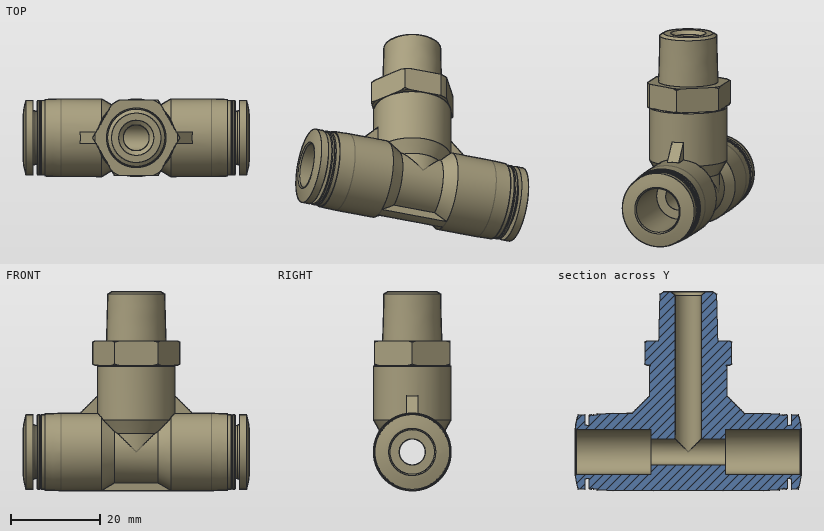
import math

import cadquery as cq


body_diameter = 17.5
body_radius = body_diameter / 2
waist_radius = 7.05
run_waist_half_length = 4.85
run_shoulder_start = 7.75
body_taper_start = 16.9
body_taper_end = 20.45
body_taper_end_radius = 8.64

ring_radius = 16.8 / 2
ring_end = 22.3
ring_edge_chamfer = 0.2
groove_center = 21.5
groove_half_width = 0.2
groove_depth = 0.2

neck_radius = 12.0 / 2
neck_root_radius = 6.2
neck_taper_start = 22.7
flange_inner_face = 23.15
flange_rim_end = 24.8
sleeve_end = 50.8 / 2
crown_bulge = 0.08

bore_diameter = 5.8
tube_socket_diameter = 10.0
tube_socket_depth = 17.0
socket_chamfer = 0.3

branch_cone_start = 4.15
collar_start = 7.2
hex_bottom = 19.45
collar_top_chamfer = 0.25
hex_top = 24.95
hex_across_flats = 17.0
hex_chamfer_radius = 9.3
hex_chamfer_angle = 30.0
branch_end = 36.0

nipple_root_radius = 6.7
nipple_tip_radius = 6.42
nipple_face_radius = 5.55
nipple_chamfer_height = 0.55
countersink_radius = 3.95
countersink_depth = 0.8

rib_thickness = 2.65
gusset_top = 12.55


def make_half_run():
    """Solid of revolution about X for the +X half of the run."""
    slope_mid_x = (sleeve_end + flange_rim_end) / 2 + crown_bulge
    socket_mouth_radius = tube_socket_diameter / 2 + socket_chamfer
    slope_mid_radius = (socket_mouth_radius + ring_radius) / 2 + crown_bulge
    return (
        cq.Workplane("XY")
        .moveTo(0, 0)
        .lineTo(0, waist_radius)
        .lineTo(run_waist_half_length, waist_radius)
        .lineTo(run_shoulder_start, body_radius)
        .lineTo(body_taper_start, body_radius)
        .lineTo(body_taper_end, body_taper_end_radius)
        .lineTo(body_taper_end, ring_radius)
        .lineTo(groove_center - groove_half_width, ring_radius)
        .lineTo(groove_center, ring_radius - groove_depth)
        .lineTo(groove_center + groove_half_width, ring_radius)
        .lineTo(ring_end - ring_edge_chamfer, ring_radius)
        .lineTo(ring_end, ring_radius - ring_edge_chamfer)
        .lineTo(ring_end, neck_radius)
        .lineTo(neck_taper_start, neck_radius)
        .lineTo(flange_inner_face, neck_root_radius)
        .lineTo(flange_inner_face, ring_radius)
        .lineTo(flange_rim_end, ring_radius)
        .threePointArc((slope_mid_x, slope_mid_radius), (sleeve_end, socket_mouth_radius))
        .lineTo(sleeve_end, 0)
        .close()
        .revolve(360, (0, 0, 0), (1, 0, 0))
    )


def make_branch():
    """Waist, cone, collar and nipple revolved about Z."""
    collar_edge_radius = body_radius - collar_top_chamfer
    return (
        cq.Workplane("XZ")
        .moveTo(0, 0)
        .lineTo(waist_radius, 0)
        .lineTo(waist_radius, branch_cone_start)
        .lineTo(body_radius, collar_start)
        .lineTo(body_radius, hex_bottom - collar_top_chamfer)
        .lineTo(collar_edge_radius, hex_bottom)
        .lineTo(nipple_root_radius, hex_bottom)
        .lineTo(nipple_root_radius, hex_top)
        .lineTo(nipple_tip_radius, branch_end - nipple_chamfer_height)
        .lineTo(nipple_face_radius, branch_end)
        .lineTo(0, branch_end)
        .close()
        .revolve(360, (0, 0, 0), (0, 1, 0))
    )


def make_hexagon():
    """Wrench hexagon with corners on +X and -X, chamfered at both faces."""
    height = hex_top - hex_bottom
    corner_radius = hex_across_flats / math.sqrt(3)
    chamfer_drop = (corner_radius - hex_chamfer_radius) * math.tan(math.radians(hex_chamfer_angle))
    hexagon = (
        cq.Workplane("XY")
        .workplane(offset=hex_bottom)
        .polygon(6, 2 * corner_radius)
        .extrude(height)
    )
    envelope = (
        cq.Workplane("XZ")
        .moveTo(0, hex_bottom)
        .lineTo(hex_chamfer_radius, hex_bottom)
        .lineTo(corner_radius, hex_bottom + chamfer_drop)
        .lineTo(corner_radius, hex_top - chamfer_drop)
        .lineTo(hex_chamfer_radius, hex_top)
        .lineTo(0, hex_top)
        .close()
        .revolve(360, (0, 0, 0), (0, 1, 0))
    )
    corner_block = (
        cq.Workplane("XY")
        .workplane(offset=hex_bottom)
        .center(-corner_radius / 2, hex_across_flats / 2)
        .rect(corner_radius, hex_across_flats / 2)
        .extrude(height)
    )
    round_core = (
        cq.Workplane("XY").workplane(offset=hex_bottom).circle(hex_chamfer_radius).extrude(height)
    )
    return hexagon.intersect(envelope).cut(corner_block.cut(round_core))


def make_gussets():
    """45 degree web joining the collar to the top of the run on both sides."""
    slope_sum = body_radius + gusset_top
    half_base = slope_sum - waist_radius
    half_peak = waist_radius
    return (
        cq.Workplane("XZ")
        .moveTo(-half_base, waist_radius)
        .lineTo(-half_peak, slope_sum - half_peak)
        .lineTo(half_peak, slope_sum - half_peak)
        .lineTo(half_base, waist_radius)
        .close()
        .extrude(rib_thickness / 2, both=True)
    )


def make_bottom_rib():
    """Straight rib under the waist, flush with the full body diameter."""
    full_run = cq.Workplane("YZ").circle(body_radius).extrude(run_shoulder_start, both=True)
    web = (
        cq.Workplane("XY")
        .rect(2 * run_shoulder_start, rib_thickness)
        .extrude(-body_radius)
    )
    return full_run.intersect(web)


def make_passages():
    """Through bore of the run, tube sockets at its ends and the branch bore."""
    bore_radius = bore_diameter / 2
    socket_radius = tube_socket_diameter / 2
    run_bore = cq.Workplane("YZ").circle(bore_radius).extrude(sleeve_end, both=True)
    socket_floor = sleeve_end - tube_socket_depth
    socket = (
        cq.Workplane("XY")
        .moveTo(socket_floor, 0)
        .lineTo(socket_floor, socket_radius)
        .lineTo(sleeve_end - socket_chamfer, socket_radius)
        .lineTo(sleeve_end, socket_radius + socket_chamfer)
        .lineTo(sleeve_end, 0)
        .close()
        .revolve(360, (0, 0, 0), (1, 0, 0))
    )
    branch = (
        cq.Workplane("XZ")
        .moveTo(0, 0)
        .lineTo(bore_radius, 0)
        .lineTo(bore_radius, branch_end - countersink_depth)
        .lineTo(countersink_radius, branch_end)
        .lineTo(0, branch_end)
        .close()
        .revolve(360, (0, 0, 0), (0, 1, 0))
    )
    return run_bore.union(socket).union(socket.mirror("YZ")).union(branch)


half_run = make_half_run()
outside = (
    half_run.union(half_run.mirror("YZ"))
    .union(make_branch())
    .union(make_hexagon())
    .union(make_gussets())
    .union(make_bottom_rib())
)
result = outside.cut(make_passages())